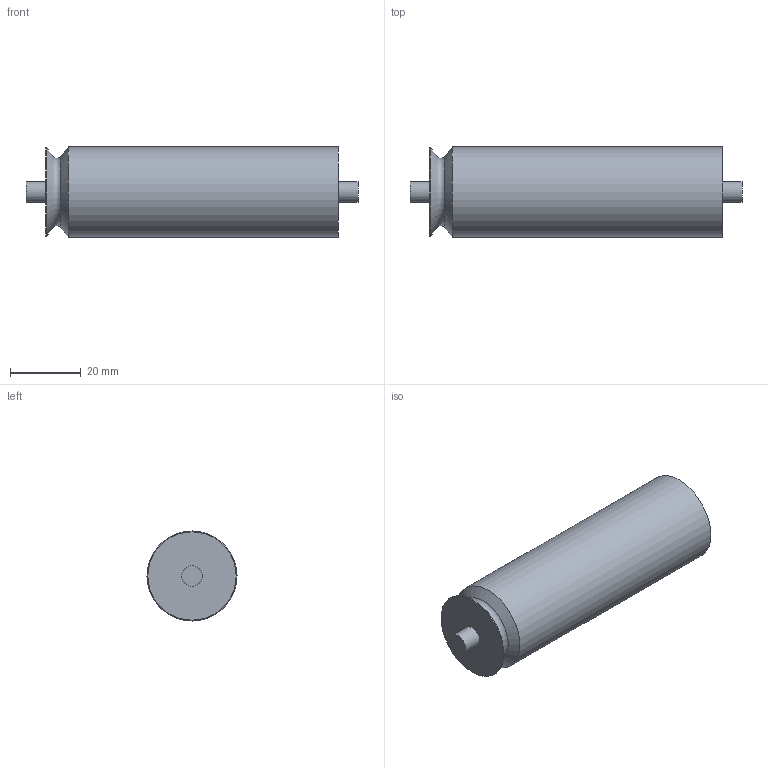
import cadquery as cq
import math

overall_length = 93.66
shaft_diameter = 5.84
roller_diameter = 25.4
roller_length = 76.2
groove_width = 6.35
groove_depth = 3.175
groove_wall_angle = 52
rim_diameter = 24.9

shaft_radius = shaft_diameter / 2
roller_radius = roller_diameter / 2
rim_radius = rim_diameter / 2
groove_bottom_radius = roller_radius - groove_depth

shaft_start_x = -overall_length / 2
shaft_stub_length = (overall_length - roller_length - groove_width) / 2
rim_x = shaft_start_x + shaft_stub_length
groove_centre_x = rim_x + groove_width / 2
shoulder_x = rim_x + groove_width
roller_end_x = shoulder_x + roller_length

wall_angle = math.radians(groove_wall_angle)
sharp_v_depth = groove_width / 2 * math.tan(wall_angle)
root_round_radius = (sharp_v_depth - groove_depth) / (1 / math.cos(wall_angle) - 1)
root_half_width = root_round_radius * math.sin(wall_angle)
root_tangent_radius = groove_bottom_radius + root_round_radius * (1 - math.cos(wall_angle))

rim_land_width = (roller_radius - rim_radius) / math.tan(wall_angle)


def make_grooved_roller():
    """Roller body with a round-bottomed V-belt groove at its -X end."""
    profile = (
        cq.Workplane("XY")
        .moveTo(rim_x, 0)
        .lineTo(rim_x, rim_radius)
        .lineTo(rim_x + rim_land_width, rim_radius)
        .lineTo(groove_centre_x - root_half_width, root_tangent_radius)
        .threePointArc(
            (groove_centre_x, groove_bottom_radius),
            (groove_centre_x + root_half_width, root_tangent_radius),
        )
        .lineTo(shoulder_x, roller_radius)
        .lineTo(roller_end_x, roller_radius)
        .lineTo(roller_end_x, 0)
        .close()
    )
    return profile.revolve(360, (0, 0, 0), (1, 0, 0))


def make_shaft():
    """Straight shaft running the full length of the part."""
    start_face = cq.Workplane("YZ", origin=(shaft_start_x, 0, 0))
    return start_face.circle(shaft_radius).extrude(overall_length)


result = make_grooved_roller().union(make_shaft())